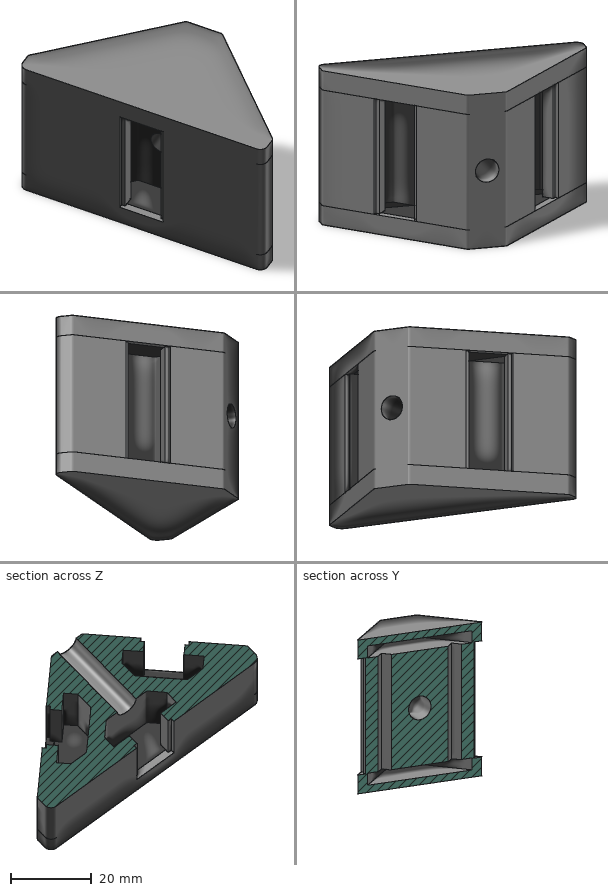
import cadquery as cq

total_height = 40.0
cap_thickness = 5.0
profile_height = total_height - 2 * cap_thickness
depth = 34.0
cap_width = 68.0
profile_width = 68.04

side_height = 5.0
front_radius = 2.0
slope_radius = 1.0

cap_wall = 2.0
cap_floor = 2.0
cap_recess = cap_thickness - cap_floor

step_width = 12.0
step_depth = 1.0
neck_width = 10.0
lip_depth = 4.0
chamber_width = 20.0
chamber_base_width = 13.0
slot_depth = 11.0
chamber_radius = 1.0
slope_slot_angle = 135.0

hole_diameter = 6.0


def outline_prism(width, height):
    """Trapezoid with 45 degree slopes and rounded vertical edges, centred on Z = 0."""
    half_width = width / 2
    half_back = half_width - (depth - side_height)
    corners = [
        (-half_width, 0),
        (half_width, 0),
        (half_width, side_height),
        (half_back, depth),
        (-half_back, depth),
        (-half_width, side_height),
    ]
    prism = cq.Workplane("XY").polyline(corners).close().extrude(height / 2, both=True)
    prism = prism.edges("|Z and (not <Y)").fillet(slope_radius)
    return prism.edges("|Z and <Y").fillet(front_radius)


def top_cap():
    """Cap resting on the upper end of the profile, with the recess in its lower face."""
    middle = (profile_height + cap_thickness) / 2
    cap = outline_prism(cap_width, cap_thickness).translate((0, 0, middle))
    rim = cap.faces("<Z").wires().toPending().workplane().offset2D(-cap_wall)
    return rim.cutBlind(-cap_recess)


def t_slot(x, y, angle):
    """Slot cutter with its mouth at (x, y); at angle 0 it runs from there towards +Y."""
    flank = (chamber_width - chamber_base_width) / 2
    half_section = [
        (step_width / 2, 0),
        (step_width / 2, step_depth),
        (neck_width / 2, step_depth),
        (neck_width / 2, lip_depth),
        (chamber_width / 2, lip_depth),
        (chamber_width / 2, slot_depth - flank),
        (chamber_base_width / 2, slot_depth),
    ]
    mirrored = [(-px, py) for px, py in reversed(half_section)]
    cutter = (
        cq.Workplane("XY").polyline(half_section + mirrored).close()
        .extrude(profile_height / 2, both=True)
    )
    cutter = cutter.faces(">Y").edges("|Z").fillet(chamber_radius)
    return cutter.rotate((0, 0, 0), (0, 0, 1), angle).translate((x, y, 0))


def profile():
    """Corner profile with one slot in the front, one in each slope, and the through hole."""
    body = outline_prism(profile_width, profile_height)
    slope_x = profile_width / 2 - (depth - side_height) / 2
    slope_y = (depth + side_height) / 2
    body = body.cut(t_slot(0, 0, 0))
    for side in (-1, 1):
        body = body.cut(t_slot(side * slope_x, slope_y, side * slope_slot_angle))
    hole = cq.Workplane("XZ").circle(hole_diameter / 2).extrude(-depth)
    return body.cut(hole)


upper_cap = top_cap()
lower_cap = upper_cap.mirror("XY")

result = profile().union(upper_cap, clean=False).union(lower_cap, clean=False)